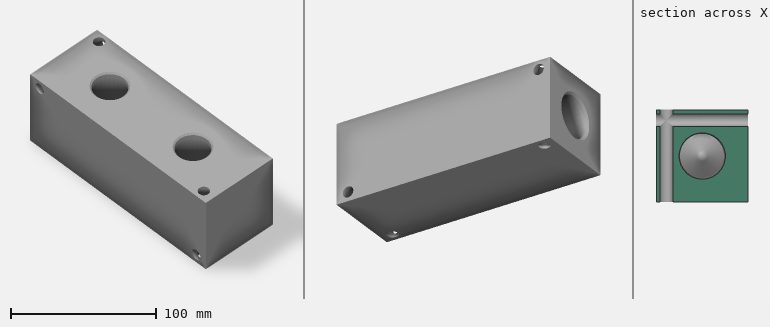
import cadquery as cq
import math

length = 174.8
side = 63.5

taper_ratio = 1 / 16

top_mouth_diameter = 28.0
top_bore_diameter = 25.5
top_port_depth = 25.3
top_cone_angle = 122.0
top_port_spacing = 82.7

end_mouth_diameter = 35.1
end_bore_diameter = 32.0
end_port_depth = 30.2
end_cone_angle = 73.0

mounting_diameter = 8.5
mounting_end_inset = 9.5
mounting_edge_inset = 7.2

INWARD = 1
OUTWARD = -1


def port_cutter(mouth_diameter, bore_diameter, depth, cone_angle, cone_sense):
    """Solid to cut for a port whose mouth is centred on the origin and that deepens along +Z."""
    mouth_radius = mouth_diameter / 2
    bore_radius = bore_diameter / 2
    chamfer = mouth_radius - bore_radius
    rim_radius = bore_radius - (depth - chamfer) * taper_ratio / 2
    cone_height = rim_radius / math.tan(math.radians(cone_angle / 2))
    profile = [
        (0, 0),
        (mouth_radius, 0),
        (bore_radius, chamfer),
        (rim_radius, depth),
        (0, depth + cone_sense * cone_height),
    ]
    return cq.Workplane("XZ").polyline(profile).close().revolve(360, (0, 0, 0), (0, 1, 0))


def cut_top_ports(block):
    cutter = port_cutter(
        top_mouth_diameter, top_bore_diameter, top_port_depth, top_cone_angle, INWARD
    ).rotate((0, 0, 0), (1, 0, 0), 180)
    for x in (-top_port_spacing / 2, top_port_spacing / 2):
        block = block.cut(cutter.translate((x, 0, side / 2)))
    return block


def cut_end_port(block):
    """Port in the centre of the -X face."""
    cutter = port_cutter(
        end_mouth_diameter, end_bore_diameter, end_port_depth, end_cone_angle, OUTWARD
    ).rotate((0, 0, 0), (0, 1, 0), 90)
    return block.cut(cutter.translate((-length / 2, 0, 0)))


def cut_mounting_holes(block):
    """Two holes through the block along Z and two along Y."""
    hole_x = length / 2 - mounting_end_inset
    hole_offset = side / 2 - mounting_edge_inset
    centers = [(-hole_x, hole_offset), (hole_x, -hole_offset)]
    for plane in ("XY", "XZ"):
        holes = (
            cq.Workplane(plane)
            .pushPoints(centers)
            .circle(mounting_diameter / 2)
            .extrude(side, both=True)
        )
        block = block.cut(holes)
    return block


block = cq.Workplane("XY").box(length, side, side)
block = cut_top_ports(block)
block = cut_end_port(block)
result = cut_mounting_holes(block)